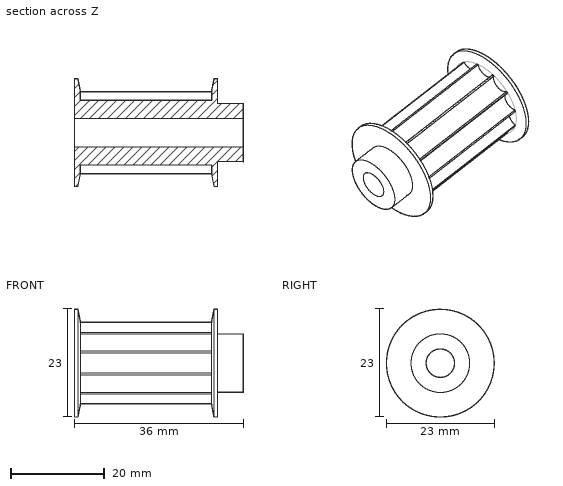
import cadquery as cq
import math

total_length = 36.0
flanged_length = 30.5
flange_diameter = 23.0
flange_rim_width = 0.8
flange_thickness = 1.25
flange_seat_diameter = 18.15
hub_diameter = 12.5
bore_diameter = 6.0

tooth_count = 12
tooth_tip_diameter = 18.0
tooth_land_width = 0.45
groove_depth = 2.1

tip_radius = tooth_tip_diameter / 2
tooth_pitch_angle = 360 / tooth_count
toothed_length = flanged_length - 2 * flange_thickness


def make_flange():
    """Flange with its flat face at X = 0 and a conical inner face toward +X."""
    half_profile = [
        (0, 0),
        (0, flange_diameter / 2),
        (flange_rim_width, flange_diameter / 2),
        (flange_thickness, flange_seat_diameter / 2),
        (flange_thickness, 0),
    ]
    return cq.Workplane("XY").polyline(half_profile).close().revolve(360, (0, 0, 0), (1, 0, 0))


def make_groove_cutters():
    """Round-bottomed grooves, one centred on each multiple of the pitch angle."""
    half_land_angle = math.asin(tooth_land_width / 2 / tip_radius)
    half_groove_angle = math.radians(tooth_pitch_angle / 2) - half_land_angle
    half_opening = tip_radius * math.sin(half_groove_angle)
    sagitta = tip_radius * math.cos(half_groove_angle) - (tip_radius - groove_depth)
    groove_radius = (half_opening**2 + sagitta**2) / (2 * sagitta)
    groove_centre_radius = tip_radius - groove_depth + groove_radius
    return (
        cq.Workplane("YZ", origin=(flange_thickness, 0, 0))
        .polarArray(groove_centre_radius, 0, 360, tooth_count)
        .circle(groove_radius)
        .extrude(toothed_length)
    )


def make_toothed_core():
    core = cq.Workplane("YZ", origin=(flange_thickness, 0, 0)).circle(tip_radius).extrude(toothed_length)
    return core.cut(make_groove_cutters())


near_flange = make_flange()
far_flange = near_flange.mirror("YZ").translate((flanged_length, 0, 0))
hub = (
    cq.Workplane("YZ", origin=(flanged_length, 0, 0))
    .circle(hub_diameter / 2)
    .extrude(total_length - flanged_length)
)
bore = cq.Workplane("YZ").circle(bore_diameter / 2).extrude(total_length)

result = make_toothed_core().union(near_flange).union(far_flange).union(hub).cut(bore)